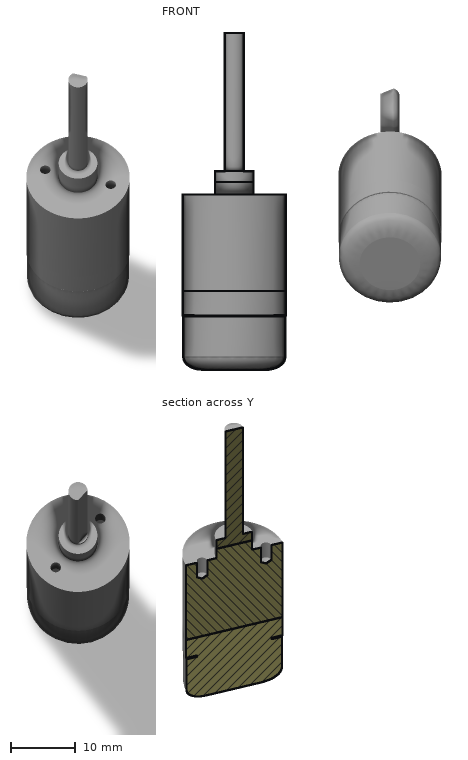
import math

import cadquery as cq

TOTAL_HEIGHT = 52.2
BODY_DIAMETER = 16.0
COLLAR_DIAMETER = 6.0

MOTOR_HEIGHT = 12.2
MOTOR_CAN_DIAMETER = 15.8
GROOVE_DIAMETER = 12.5
GROOVE_BOTTOM = 8.3
GROOVE_WIDTH = 0.15
ROUNDED_END_HEIGHT = 2.05
END_FACE_DIAMETER = 9.4

GEARBOX_LENGTH = 15.0
BOSS_HEIGHT = 1.9
PIN_HOLE_DIAMETER = 1.6
PIN_HOLE_SPACING = 10.55
PIN_HOLE_DEPTH = 3.0
DRILL_TIP_ANGLE = math.radians(118.0)

SHAFT_DIAMETER = 3.0
SHAFT_COLLAR_HEIGHT = 1.7
FLAT_OFFSET = 1.0
FLAT_CLEARANCE = 0.45

GEARBOX_TOP = MOTOR_HEIGHT + GEARBOX_LENGTH
BOSS_TOP = GEARBOX_TOP + BOSS_HEIGHT
COLLAR_TOP = BOSS_TOP + SHAFT_COLLAR_HEIGHT
FLAT_START = COLLAR_TOP + FLAT_CLEARANCE


def cylinder(diameter, bottom, top):
    """Upright cylinder on the Z axis between two heights."""
    return cq.Workplane("XY").workplane(offset=bottom).circle(diameter / 2).extrude(top - bottom)


def make_motor():
    """Can with a rounded closed end, and a flange above a thin groove, revolved in one profile."""
    can_radius = MOTOR_CAN_DIAMETER / 2
    end_radius = END_FACE_DIAMETER / 2
    groove_radius = GROOVE_DIAMETER / 2
    flange_radius = BODY_DIAMETER / 2
    groove_top = GROOVE_BOTTOM + GROOVE_WIDTH

    return (
        cq.Workplane("XZ")
        .lineTo(end_radius, 0)
        .ellipseArc(can_radius - end_radius, ROUNDED_END_HEIGHT, angle1=270, angle2=360)
        .lineTo(can_radius, GROOVE_BOTTOM)
        .lineTo(groove_radius, GROOVE_BOTTOM)
        .lineTo(groove_radius, groove_top)
        .lineTo(flange_radius, groove_top)
        .lineTo(flange_radius, MOTOR_HEIGHT)
        .lineTo(0, MOTOR_HEIGHT)
        .close()
        .revolve(360, (0, 0, 0), (0, 1, 0))
    )


def make_pin_hole(x):
    """Blind drilled hole with a conical tip, cut down from the gearbox face."""
    radius = PIN_HOLE_DIAMETER / 2
    tip_depth = PIN_HOLE_DEPTH + radius / math.tan(DRILL_TIP_ANGLE / 2)
    return (
        cq.Workplane("XZ")
        .lineTo(radius, 0)
        .lineTo(radius, -PIN_HOLE_DEPTH)
        .lineTo(0, -tip_depth)
        .close()
        .revolve(360, (0, 0, 0), (0, 1, 0))
        .translate((x, 0, GEARBOX_TOP))
    )


def make_gearbox():
    """Cylindrical housing with a central boss and two drilled pin holes."""
    housing = cylinder(BODY_DIAMETER, MOTOR_HEIGHT, GEARBOX_TOP)
    boss = cylinder(COLLAR_DIAMETER, GEARBOX_TOP, BOSS_TOP)
    gearbox = housing.union(boss)
    for side in (-1, 1):
        gearbox = gearbox.cut(make_pin_hole(side * PIN_HOLE_SPACING / 2))
    return gearbox


def make_shaft():
    """Round shaft on a collar, with a flat on its +Y side that starts just above the collar."""
    collar = cylinder(COLLAR_DIAMETER, BOSS_TOP, COLLAR_TOP)
    rod = cylinder(SHAFT_DIAMETER, COLLAR_TOP, TOTAL_HEIGHT)
    flat_length = TOTAL_HEIGHT - FLAT_START
    flat_cut = (
        cq.Workplane("XY")
        .box(SHAFT_DIAMETER, SHAFT_DIAMETER, flat_length, centered=(True, False, False))
        .translate((0, FLAT_OFFSET, FLAT_START))
    )
    return collar.union(rod).cut(flat_cut)


motor = make_motor()
gearbox = make_gearbox()
shaft = make_shaft()

result = cq.Compound.makeCompound([motor.val(), gearbox.val(), shaft.val()])